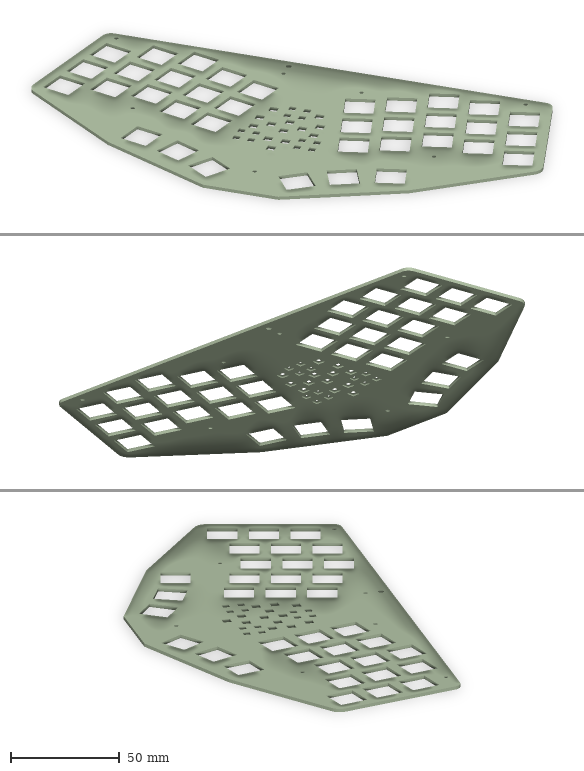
import cadquery as cq
import math

length = 248.0
width = 127.0
thickness = 1.6

side_radius = 6.0
side_corner_y = 2.7
top_radius = 4.5
top_corner_x = 105.0

front_corner_x = 18.4
knee_x = 73.2
knee_y = -38.0

key_axis_x = 0.12
key_size = 14.0
key_pitch = 19.0
key_tilt = 15
keys_per_column = 3
middle_key_x = 64.5
middle_key_y = 31.5
column_staggers = [-7.7, -5.2, 0, -5.2, -15.5]

thumb_keys = [(21.3, -46.2, 35), (40.2, -35.5, 25), (60.5, -27.5, 15)]

window_axis_x = -0.37
large_window_size = 4.0
center_windows_y = [7.5, -1.5, -19.4]
paired_windows = [(11.2, 16.9), (14.6, 7.5), (7.5, 3.0), (14.6, -1.5), (4.2, -11.2)]

small_window_size = 3.2
small_window_pitch = 7.2
small_group_centers = [(0, 16.9), (-15.1, -11.2), (14.5, -11.2)]

hole_diameter = 2.0
hole_centers = [
    (-102.5, 59.3),
    (-18.5, 51.5),
    (21.3, 45.7),
    (96.5, 59.0),
    (-73.2, -3.0),
    (73.2, -3.0),
    (0, -43.5),
]
large_hole_diameter = 2.7
large_hole_centers = [(-18.5, 59.0)]


def tangent_line(start, end):
    """Two end points of the line that runs along the outside of two corner circles (x, y, radius)."""
    dx = end[0] - start[0]
    dy = end[1] - start[1]
    heading = math.atan2(dy, dx) + math.asin((start[2] - end[2]) / math.hypot(dx, dy))
    outward_x = math.sin(heading)
    outward_y = -math.cos(heading)
    return [(x + radius * outward_x, y + radius * outward_y) for x, y, radius in (start, end)]


def arc_middle(corner, arc_start, arc_end):
    """Point halfway along the arc between two points of a corner circle."""
    x, y, radius = corner
    angle = math.atan2((arc_start[1] + arc_end[1]) / 2 - y, (arc_start[0] + arc_end[0]) / 2 - x)
    return (x + radius * math.cos(angle), y + radius * math.sin(angle))


def make_plate():
    """Plate whose outline is a belt drawn tight around its corners, counterclockwise."""
    right_corners = [
        (front_corner_x, -width / 2, 0),
        (knee_x, knee_y, 0),
        (length / 2 - side_radius, side_corner_y, side_radius),
        (top_corner_x, width / 2 - top_radius, top_radius),
    ]
    left_corners = [(-x, y, radius) for x, y, radius in reversed(right_corners)]
    corners = right_corners + left_corners
    next_corners = corners[1:] + corners[:1]
    sides = [tangent_line(corner, following) for corner, following in zip(corners, next_corners)]

    position = sides[-1][1]
    outline = cq.Workplane("XY").workplane(offset=-thickness / 2).moveTo(*position)
    for corner, (side_start, side_end) in zip(corners, sides):
        if corner[2] > 0:
            outline = outline.threePointArc(arc_middle(corner, position, side_start), side_start)
        outline = outline.lineTo(*side_end)
        position = side_end
    return outline.close().extrude(thickness)


def right_hand_keys():
    """Offset from the key centre line, y and tilt of every key opening on the right half."""
    tilt_cos = math.cos(math.radians(key_tilt))
    tilt_sin = math.sin(math.radians(key_tilt))
    middle_column = len(column_staggers) // 2
    middle_row = keys_per_column // 2
    keys = list(thumb_keys)
    for column, stagger in enumerate(column_staggers):
        across = (column - middle_column) * key_pitch
        for row in range(keys_per_column):
            along = (row - middle_row) * key_pitch + stagger
            x = middle_key_x + across * tilt_cos - along * tilt_sin
            y = middle_key_y + across * tilt_sin + along * tilt_cos
            keys.append((x, y, key_tilt))
    return keys


def cut_squares(plate, centers, size, tilt=0):
    """Cut square openings of one size and tilt through the plate."""
    sketch = cq.Sketch().push(centers).rect(size, size, angle=tilt)
    return plate.cut(cq.Workplane("XY").placeSketch(sketch).extrude(thickness, both=True))


def cut_keys(plate):
    for offset, y, tilt in right_hand_keys():
        plate = cut_squares(plate, [(key_axis_x + offset, y)], key_size, tilt)
        plate = cut_squares(plate, [(key_axis_x - offset, y)], key_size, -tilt)
    return plate


def cut_windows(plate):
    large_centers = [(window_axis_x, y) for y in center_windows_y]
    for offset, y in paired_windows:
        large_centers += [(window_axis_x - offset, y), (window_axis_x + offset, y)]
    plate = cut_squares(plate, large_centers, large_window_size)

    half_pitch = small_window_pitch / 2
    small_centers = []
    for x, y in small_group_centers:
        for side in (-1, 1):
            column_x = x + side * half_pitch
            small_centers += [(column_x, y - half_pitch), (column_x, y + half_pitch)]
    return cut_squares(plate, small_centers, small_window_size)


def cut_holes(plate, centers, diameter):
    pins = cq.Workplane("XY").pushPoints(centers).circle(diameter / 2).extrude(thickness, both=True)
    return plate.cut(pins)


plate = make_plate()
plate = cut_keys(plate)
plate = cut_windows(plate)
plate = cut_holes(plate, hole_centers, hole_diameter)
plate = cut_holes(plate, large_hole_centers, large_hole_diameter)

result = plate